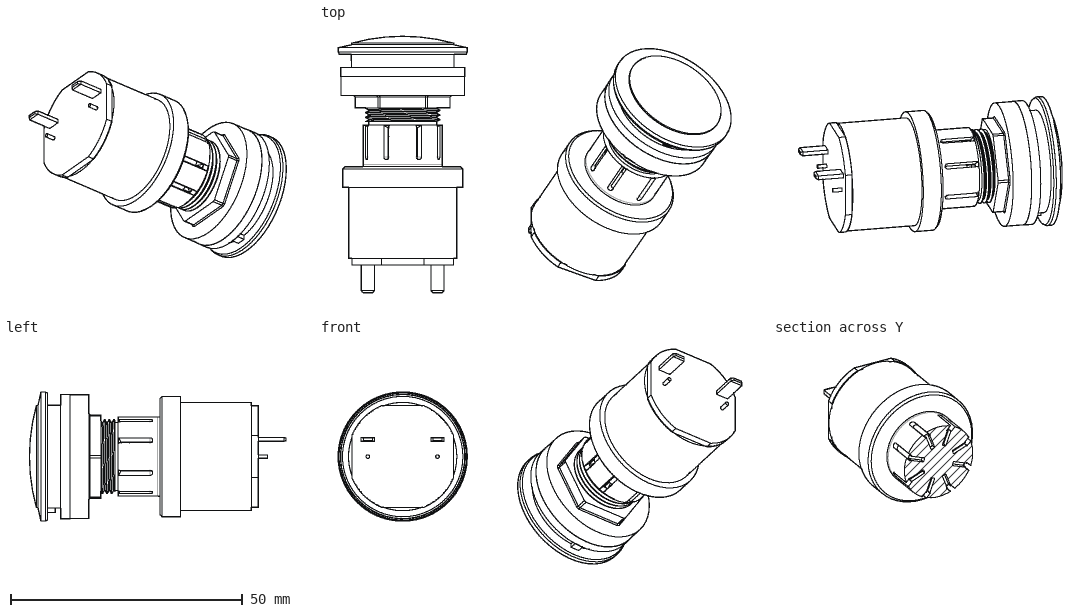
import cadquery as cq
import math


CROWN_Y = 55.4
DOME_EDGE_Y = 53.9
CONE_TOP_Y = 53.55
BEZEL_TOP_Y = 52.9
BEZEL_CHAMFER_Y = 51.95
BEZEL_BOTTOM_Y = 51.45
COLLAR_TOP_Y = 48.65
COLLAR_SEAM_Y = 46.65
COLLAR_BOTTOM_Y = 42.55
NUT_BOTTOM_Y = 39.95
SLEEVE_TOP_Y = 36.2
SLEEVE_FOOT_Y = 27.75
RING_TOP_Y = 27.25
RING_BOTTOM_Y = 22.75
BODY_BOTTOM_Y = 7.5
BASE_BOTTOM_Y = 6.0

DOME_D = 22.05
BEZEL_D = 27.9
BEZEL_LIP_D = 27.4
NECK_D = 22.2
COLLAR_D = 26.85
LOWER_COLLAR_D = 26.75
STEM_D = 14.75
SLEEVE_D = 17.1
SLEEVE_FOOT_D = 17.15
RING_D = 26.0
RING_FACE_D = 25.0
BODY_D = 23.4
BASE_D = 23.75

NUT_FLATS = 18.0
NUT_CORNER_D = 20.5
NUT_FLARE = 0.3
NUT_FLARE_ANGLE = 45
NUT_SIDES = 6

THREAD_D = 16.0
THREAD_PITCH = 1.0
THREAD_TURNS = 4
THREAD_START_Y = 36.4
THREAD_END_Y = 36.95
THREAD_CREST_WIDTH = 0.1
THREAD_ROOT_WIDTH = 0.95
THREAD_ROOT_SINK = 0.15

SLOT_WIDTH = 1.05
SLOT_OFFSET = 3.0
SLOT_DIAGONALS = (45, 135, 225, 315)
SLOT_BOTTOM_Y = 28.8
SLOT_LIP_Y = 35.65
SLOT_FLOOR_D = 14.7

WINDOW_WIDTH = 0.85
WINDOW_TOP_Y = 35.55
WINDOW_BOTTOM_Y = 33.8
WINDOW_FLOOR_R = 3.9

BASE_WIDTH = 21.95
TERMINAL_SPACING = 15.0
TERMINAL_WIDTH = 2.9
TERMINAL_THICKNESS = 0.9
TERMINAL_Z = 3.7
TERMINAL_TIP_LENGTH = 0.5
TERMINAL_TIP_WIDTH = 2.0
TERMINAL_TIP_THICKNESS = 0.55
PIN_D = 0.8
PIN_LENGTH = 2.0

KEY_WIDTH = 2.0
KEY_LENGTH = 1.65
KEY_OUTER_R = 12.1

OVERLAP = 0.3


def along_y(y):
    """Workplane across the axis at height y, extruding toward +Y, local x = -X, local y = +Z."""
    return cq.Workplane(cq.Plane(origin=(0, y, 0), xDir=(-1, 0, 0), normal=(0, 1, 0)))


def turned_body():
    """All round steps from the rear body to the domed button, revolved in one piece."""
    dome_radius = ((DOME_D / 2) ** 2 + (CROWN_Y - DOME_EDGE_Y) ** 2) / (2 * (CROWN_Y - DOME_EDGE_Y))
    mid_r = DOME_D / 4
    mid_y = CROWN_Y - dome_radius + math.sqrt(dome_radius**2 - mid_r**2)
    return (
        cq.Workplane("XY")
        .moveTo(0, BODY_BOTTOM_Y)
        .lineTo(BODY_D / 2, BODY_BOTTOM_Y)
        .lineTo(BODY_D / 2, RING_BOTTOM_Y)
        .lineTo(RING_D / 2, RING_BOTTOM_Y)
        .lineTo(RING_D / 2, RING_TOP_Y - (RING_D - RING_FACE_D) / 2)
        .lineTo(RING_FACE_D / 2, RING_TOP_Y)
        .lineTo(SLEEVE_FOOT_D / 2, RING_TOP_Y)
        .lineTo(SLEEVE_D / 2, SLEEVE_FOOT_Y)
        .lineTo(SLEEVE_D / 2, SLEEVE_TOP_Y)
        .lineTo(STEM_D / 2, SLEEVE_TOP_Y)
        .lineTo(STEM_D / 2, COLLAR_BOTTOM_Y)
        .lineTo(LOWER_COLLAR_D / 2, COLLAR_BOTTOM_Y)
        .lineTo(LOWER_COLLAR_D / 2, COLLAR_SEAM_Y)
        .lineTo(COLLAR_D / 2, COLLAR_SEAM_Y)
        .lineTo(COLLAR_D / 2, COLLAR_TOP_Y)
        .lineTo(NECK_D / 2, COLLAR_TOP_Y)
        .lineTo(NECK_D / 2, BEZEL_BOTTOM_Y)
        .lineTo(BEZEL_LIP_D / 2, BEZEL_BOTTOM_Y)
        .lineTo(BEZEL_D / 2, BEZEL_CHAMFER_Y)
        .lineTo(BEZEL_D / 2, BEZEL_TOP_Y)
        .lineTo(DOME_D / 2, CONE_TOP_Y)
        .lineTo(DOME_D / 2, DOME_EDGE_Y)
        .threePointArc((mid_r, mid_y), (0, CROWN_Y))
        .close()
        .revolve(360, (0, 0, 0), (0, 1, 0))
    )


def hexagon(flats, corner_d, y, height, taper=0):
    """Hexagonal block with flats facing +Z and -Z and its corners turned to corner_d."""
    block = along_y(y).polygon(NUT_SIDES, flats, circumscribed=True).extrude(height, taper=taper)
    bar = block.rotate((0, 0, 0), (0, 1, 0), 180 / NUT_SIDES)
    return bar.intersect(along_y(y).circle(corner_d / 2).extrude(height, taper=taper))


def nut():
    """Nut prism that flares out where it meets the collar."""
    flare_y = COLLAR_BOTTOM_Y - NUT_FLARE
    prism = hexagon(NUT_FLATS, NUT_CORNER_D, NUT_BOTTOM_Y, flare_y - NUT_BOTTOM_Y)
    flare = hexagon(NUT_FLATS, NUT_CORNER_D, flare_y, NUT_FLARE, taper=-NUT_FLARE_ANGLE)
    return prism.union(flare)


def thread():
    """Right-handed V ridge wound on the stem, cut flat at its lower end and running into the nut above."""
    root_r = STEM_D / 2 - THREAD_ROOT_SINK
    crest_r = THREAD_D / 2
    half_root = THREAD_ROOT_WIDTH / 2
    half_crest = THREAD_CREST_WIDTH / 2
    helix = cq.Wire.makeHelix(THREAD_PITCH, THREAD_PITCH * THREAD_TURNS, root_r)
    ridge = (
        cq.Workplane("XZ")
        .polyline([(root_r, -half_root), (crest_r, -half_crest), (crest_r, half_crest), (root_r, half_root)])
        .close()
        .sweep(cq.Workplane(obj=helix), isFrenet=True)
        .rotate((0, 0, 0), (1, 0, 0), -90)
        .translate((0, THREAD_START_Y, 0))
    )
    return ridge.cut(along_y(RING_TOP_Y).circle(RING_D / 2).extrude(THREAD_END_Y - RING_TOP_Y))


def slot_pair():
    """Two round-ended slots facing +Z, ending under a sloped lip at the sleeve top."""
    outer_r = SLEEVE_FOOT_D / 2 + OVERLAP
    end_y = SLOT_BOTTOM_Y + SLOT_WIDTH / 2
    length = SLEEVE_TOP_Y - end_y
    strips = (
        cq.Workplane("XY")
        .pushPoints([(-SLOT_OFFSET, end_y + length / 2), (SLOT_OFFSET, end_y + length / 2)])
        .rect(SLOT_WIDTH, length)
        .extrude(outer_r)
    )
    ends = (
        cq.Workplane("XY")
        .pushPoints([(-SLOT_OFFSET, end_y), (SLOT_OFFSET, end_y)])
        .circle(SLOT_WIDTH / 2)
        .extrude(outer_r)
    )
    floor = along_y(0).circle(SLOT_FLOOR_D / 2).extrude(CROWN_Y)
    lip = (
        along_y(SLOT_LIP_Y)
        .circle(SLOT_FLOOR_D / 2)
        .workplane(offset=SLEEVE_TOP_Y - SLOT_LIP_Y)
        .circle(outer_r)
        .loft()
    )
    return strips.union(ends).cut(floor).cut(lip)


def window(angle):
    """Radial pocket sunk into a slot floor, turned by angle away from +Z."""
    pocket = (
        cq.Workplane("XY", origin=(0, (WINDOW_TOP_Y + WINDOW_BOTTOM_Y) / 2, WINDOW_FLOOR_R))
        .rect(WINDOW_WIDTH, WINDOW_TOP_Y - WINDOW_BOTTOM_Y)
        .extrude(SLOT_FLOOR_D / 2 - WINDOW_FLOOR_R)
    )
    return pocket.rotate((0, 0, 0), (0, 1, 0), angle)


def slotted(body):
    """Cut a slot pair and its windows on each diagonal of the sleeve."""
    floor_angle = math.degrees(math.asin(2 * SLOT_OFFSET / SLOT_FLOOR_D))
    group = slot_pair().union(window(floor_angle)).union(window(-floor_angle))
    for diagonal in SLOT_DIAGONALS:
        body = body.cut(group.rotate((0, 0, 0), (0, 1, 0), diagonal))
    return body


def base():
    """Round end plate with four flats."""
    height = BODY_BOTTOM_Y - BASE_BOTTOM_Y
    disc = along_y(BASE_BOTTOM_Y).circle(BASE_D / 2).extrude(height)
    square = along_y(BASE_BOTTOM_Y).rect(BASE_WIDTH, BASE_WIDTH).extrude(height)
    return disc.intersect(square)


def tapered_blade(plane, center, width, tip_width):
    """Wide slab whose outline is a bar along Y, narrowing to tip_width at Y = 0."""
    return (
        cq.Workplane(plane)
        .moveTo(center - tip_width / 2, 0)
        .lineTo(center + tip_width / 2, 0)
        .lineTo(center + width / 2, TERMINAL_TIP_LENGTH)
        .lineTo(center + width / 2, BASE_BOTTOM_Y + OVERLAP)
        .lineTo(center - width / 2, BASE_BOTTOM_Y + OVERLAP)
        .lineTo(center - width / 2, TERMINAL_TIP_LENGTH)
        .close()
        .extrude(BASE_WIDTH / 2, both=True)
    )


def terminal(x):
    """Flat blade bevelled on all four sides of its tip."""
    face = tapered_blade("XY", x, TERMINAL_WIDTH, TERMINAL_TIP_WIDTH)
    edge_plane = cq.Plane(origin=(0, 0, 0), xDir=(0, 0, 1), normal=(-1, 0, 0))
    edge = tapered_blade(edge_plane, TERMINAL_Z, TERMINAL_THICKNESS, TERMINAL_TIP_THICKNESS)
    return face.intersect(edge)


def pin(x):
    return (
        along_y(BASE_BOTTOM_Y - PIN_LENGTH)
        .center(-x, 0)
        .circle(PIN_D / 2)
        .extrude(PIN_LENGTH + OVERLAP)
    )


def key():
    """Locating block below the bezel on the -Z side of the neck."""
    inner_r = NECK_D / 2 - OVERLAP
    return (
        along_y(BEZEL_BOTTOM_Y - KEY_LENGTH)
        .center(0, -(KEY_OUTER_R + inner_r) / 2)
        .rect(KEY_WIDTH, KEY_OUTER_R - inner_r)
        .extrude(KEY_LENGTH)
    )


result = (
    slotted(turned_body())
    .union(thread())
    .union(nut())
    .union(base())
    .union(key())
)
for contact_x in (-TERMINAL_SPACING / 2, TERMINAL_SPACING / 2):
    result = result.union(terminal(contact_x)).union(pin(contact_x))